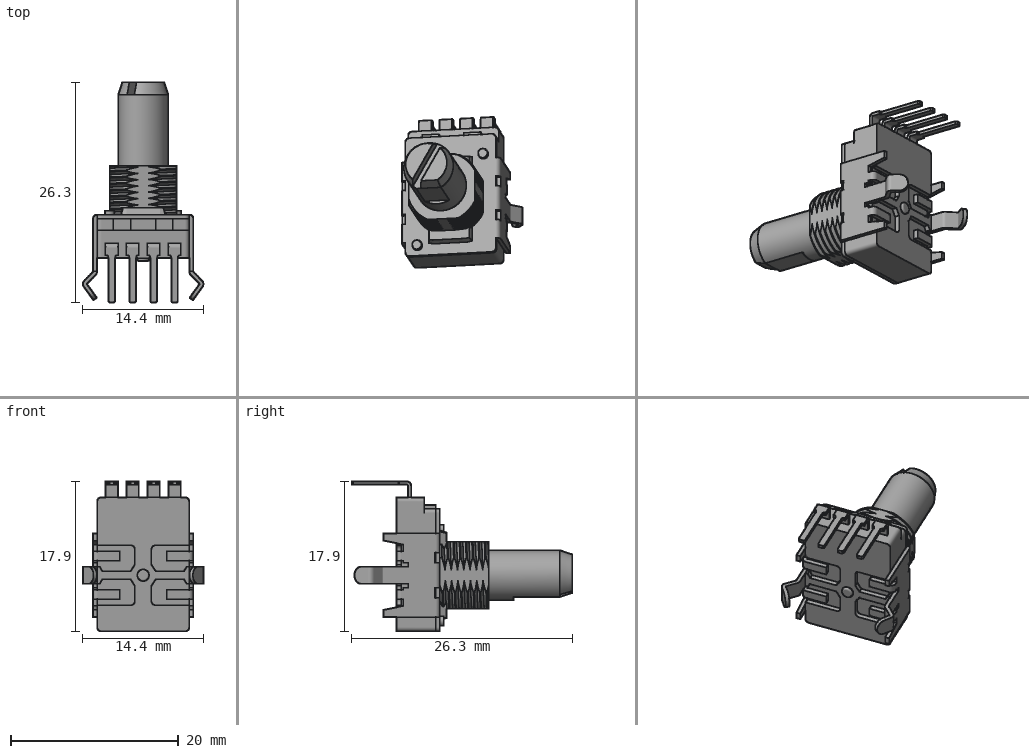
import cadquery as cq
import math


SHEET = 0.5

HOUSING_HALF_X = 5.5
HOUSING_BOTTOM_Z = -6.7
HOUSING_TOP_Z = 9.3
HOUSING_BACK_Y = -5.2
HOUSING_STEP_Y = -1.85
CORNER_RADIUS = 0.5
TAB_HEIGHT = 0.45
TAB_INNER_X = 1.5
TAB_OUTER_X = 3.55

RIVET_RADIUS = 0.7
RIVET_TIP_RADIUS = 0.48
RIVET_HEIGHT = 0.35

FINGER_BEND_RADIUS = 0.57
POCKET_FLOOR_Y = -4.6
POCKET_TOP_Z = 3.57
POCKET_INNER_X = 0.98
POCKET_RIB_HALF = 0.48
POCKET_CUT = 0.52
POCKET_CUT_HEIGHT = 0.8
RIB_FLARE_INNER_X = 4.87
RIB_FLARE_OUTER_X = 5.2

COVER_TOP_Z = 7.95
WALL_OUTER_X = HOUSING_HALF_X + SHEET
WALL_HALF_Z = 5.0
WALL_EDGE_Y = -4.37

LEG_TIP_Y = -6.75
LEG_TIP_WIDTH = 0.87
LEG_ROOT_Z = 3.65

FINGER_LOW_Z = 1.75
FINGER_HIGH_Z = 2.85
FINGER_END_X = 2.8

CLIP_HALF_Z = 1.04
CLIP_TIP_RADIUS = 1.03
CLIP_SLOT_Z = 1.5
CLIP_SLOT_Y = -3.8
CLIP_KNEE_Y = -6.93
CLIP_ELBOW_X = 7.04
CLIP_ELBOW_Y = -8.25
CLIP_TIP_X = 5.73
CLIP_TIP_Y = -10.07
CLIP_BEND_RADIUS = 0.05

WINDOW_LOW_Z = 1.5
WINDOW_HIGH_Z = 2.7
WINDOW_DEPTH = 0.65

STUD_X = 4.0
STUD_Z = 5.47
STUD_RADIUS = 0.57
STUD_HEIGHT = 0.48

BOSS_HEIGHT = 0.8
BOSS_TIP_HALF_X = 2.4
BOSS_TIP_HALF_Z = 5.1
BOSS_FLAT_HALF_X = 2.02
BOSS_CORNER_DROP = 0.13
BOSS_DRAFT = 17.0

BUSHING_LENGTH = 5.8
THREAD_RADIUS = 4.5
THREAD_ROOT_RADIUS = 4.05
THREAD_PITCH = 0.75
THREAD_CREST = 0.05
MOUTH_RADIUS = 4.55
GROOVE_SPAN = 76.0
THREAD_RUNOUT = 0.12
FLAT_HALF = 4.0

SHAFT_RADIUS = 3.0
SHAFT_END_Y = 15.8
SHAFT_FLAT_Z = -2.6
SHAFT_FLAT_START_Y = 8.8
TIP_CHAMFER = 0.5
TIP_LENGTH = 1.5
SLOT_WIDTH = 1.0
SLOT_ANGLE = 30.0

TERMINAL_COUNT = 4
TERMINAL_PITCH = 2.5
TERMINAL_THICKNESS = 0.4
TERMINAL_BEND_RADIUS = 0.55
TERMINAL_TOP_Z = 11.2
TERMINAL_FRONT_Y = -3.42
TERMINAL_SHOULDER_Y = -4.85
TERMINAL_TIP_Y = -10.5
TERMINAL_WIDE = 1.5
TERMINAL_NARROW = 0.8
TERMINAL_CHAMFER = 0.15


def block(x0, x1, y0, y1, z0, z1):
    """Axis-aligned box between the given limits."""
    size = (x1 - x0, y1 - y0, z1 - z0)
    return cq.Workplane().box(*size, centered=False).translate((x0, y0, z0))


def prism_y(points, y_from, y_to):
    """Closed (x, z) outline extruded along Y."""
    return cq.Workplane("XZ", origin=(0, y_from, 0)).polyline(points).close().extrude(y_from - y_to)


def prism_x(points, x_from, x_to):
    """Closed (y, z) outline extruded along X."""
    return cq.Workplane("YZ", origin=(x_from, 0, 0)).polyline(points).close().extrude(x_to - x_from)


def rounded_slab(y0, y1, top_z):
    """Slab as wide as the housing, standing on its bottom plane, with rounded corners."""
    slab = block(-HOUSING_HALF_X, HOUSING_HALF_X, y0, y1, HOUSING_BOTTOM_Z, top_z)
    return slab.edges("|Y").fillet(CORNER_RADIUS)


def mirrored(body, plane):
    """Body together with its mirror image."""
    return body.union(body.mirror(plane))


def make_pocket():
    """Recess in the housing back for one bent finger, upper +X corner."""
    outline = [
        (WALL_OUTER_X, POCKET_TOP_Z),
        (POCKET_INNER_X, POCKET_TOP_Z),
        (POCKET_INNER_X, POCKET_RIB_HALF + POCKET_CUT_HEIGHT),
        (POCKET_INNER_X + POCKET_CUT, POCKET_RIB_HALF),
        (RIB_FLARE_INNER_X, POCKET_RIB_HALF),
        (RIB_FLARE_OUTER_X, CLIP_HALF_Z),
        (WALL_OUTER_X, CLIP_HALF_Z),
    ]
    pocket = prism_y(outline, POCKET_FLOOR_Y, HOUSING_BACK_Y)
    middle_y = (POCKET_FLOOR_Y + HOUSING_BACK_Y) / 2
    inner_corner = cq.NearestToPointSelector((POCKET_INNER_X, middle_y, POCKET_TOP_Z))
    return pocket.edges(inner_corner).fillet(CORNER_RADIUS)


def make_housing():
    low_part = rounded_slab(HOUSING_BACK_Y, -SHEET, COVER_TOP_Z)
    tall_part = rounded_slab(HOUSING_BACK_Y, HOUSING_STEP_Y, HOUSING_TOP_Z)
    body = low_part.union(tall_part)

    tab = block(TAB_INNER_X, TAB_OUTER_X, HOUSING_STEP_Y, -SHEET, 0, COVER_TOP_Z + TAB_HEIGHT)
    body = body.union(mirrored(tab, "YZ"))

    body = body.cut(mirrored(mirrored(make_pocket(), "YZ"), "XY"))

    rivet = (
        cq.Workplane("XZ", origin=(0, HOUSING_BACK_Y, 0))
        .circle(RIVET_RADIUS)
        .extrude(RIVET_HEIGHT)
        .faces("<Y")
        .edges()
        .fillet(RIVET_RADIUS - RIVET_TIP_RADIUS)
    )
    return body.union(rivet)


def make_side_wall():
    """Side wall of the cover with its two outer legs, +X side."""
    upper_half = [
        (0, 0),
        (0, WALL_HALF_Z),
        (LEG_TIP_Y, WALL_HALF_Z),
        (LEG_TIP_Y, WALL_HALF_Z - LEG_TIP_WIDTH),
        (WALL_EDGE_Y, LEG_ROOT_Z),
        (WALL_EDGE_Y, CLIP_SLOT_Z),
        (CLIP_SLOT_Y, CLIP_SLOT_Z),
        (CLIP_SLOT_Y, 0),
    ]
    return mirrored(prism_x(upper_half, HOUSING_HALF_X, WALL_OUTER_X), "XY")


def make_shell():
    """Front plate and both side walls, with rounded bends that are cut away at four windows."""
    plate = rounded_slab(-SHEET, 0, COVER_TOP_Z)
    shell = plate.union(mirrored(make_side_wall(), "YZ"))
    shell = shell.edges("|Z and >Y and (>X or <X)").fillet(CORNER_RADIUS)
    window = block(HOUSING_HALF_X, WALL_OUTER_X, -WINDOW_DEPTH, 0, WINDOW_LOW_Z, WINDOW_HIGH_Z)
    return shell.cut(mirrored(mirrored(window, "XY"), "YZ"))


def make_finger():
    """Finger bent into its pocket, flush with the housing back, upper +X corner."""
    profile = [
        (HOUSING_HALF_X, WALL_EDGE_Y),
        (WALL_OUTER_X, WALL_EDGE_Y),
        (WALL_OUTER_X, HOUSING_BACK_Y),
        (FINGER_END_X, HOUSING_BACK_Y),
        (FINGER_END_X, POCKET_FLOOR_Y),
        (HOUSING_HALF_X, POCKET_FLOOR_Y),
    ]
    finger = cq.Workplane("XY", origin=(0, 0, FINGER_LOW_Z)).polyline(profile).close()
    finger = finger.extrude(FINGER_HIGH_Z - FINGER_LOW_Z)
    return finger.edges("|Z and <Y and >X").fillet(FINGER_BEND_RADIUS)


def offset_point(point, direction_in, direction_out, distance):
    """Mitred corner of a line running parallel to a bent centre line."""
    turn = direction_out - direction_in
    reach = distance / math.cos(turn / 2)
    normal = (direction_in + direction_out) / 2 + math.pi / 2
    return (point[0] + reach * math.cos(normal), point[1] + reach * math.sin(normal))


def make_clip():
    """Snap-in clip in the middle of the +X wall: out, back in, with a round tip."""
    centre = [
        (HOUSING_HALF_X + SHEET / 2, CLIP_SLOT_Y),
        (HOUSING_HALF_X + SHEET / 2, CLIP_KNEE_Y),
        (CLIP_ELBOW_X, CLIP_ELBOW_Y),
        (CLIP_TIP_X, CLIP_TIP_Y),
    ]
    directions = [math.atan2(b[1] - a[1], b[0] - a[0]) for a, b in zip(centre, centre[1:])]
    arriving = [directions[0]] + directions
    leaving = directions + [directions[-1]]
    left = [offset_point(p, a, b, SHEET / 2) for p, a, b in zip(centre, arriving, leaving)]
    right = [offset_point(p, a, b, -SHEET / 2) for p, a, b in zip(centre, arriving, leaving)]
    strip = cq.Workplane("XY", origin=(0, 0, -CLIP_HALF_Z)).polyline(left + right[::-1]).close()
    strip = strip.extrude(2 * CLIP_HALF_Z)

    bends = [
        (left[1], CLIP_BEND_RADIUS),
        (right[1], CLIP_BEND_RADIUS + SHEET),
        (right[2], CLIP_BEND_RADIUS),
        (left[2], CLIP_BEND_RADIUS + SHEET),
    ]
    for corner, radius in bends:
        strip = strip.edges(cq.NearestToPointSelector((*corner, 0))).fillet(radius)
    for z in (-CLIP_HALF_Z, CLIP_HALF_Z):
        tip_corner = cq.NearestToPointSelector((CLIP_TIP_X, CLIP_TIP_Y, z))
        strip = strip.edges(tip_corner).fillet(CLIP_TIP_RADIUS)
    return strip


def make_bushing():
    """Threaded bushing with four flats, without its bore.

    The flats cut the thread away except at the four corners, so each groove is cut as
    four short helical arcs. It is built along Z and then turned to the Y axis.
    """
    square = cq.Workplane().rect(2 * FLAT_HALF, 2 * FLAT_HALF).extrude(BUSHING_LENGTH)
    blank = cq.Workplane().circle(THREAD_RADIUS).extrude(BUSHING_LENGTH).intersect(square)

    arc = cq.Wire.makeHelix(THREAD_PITCH, THREAD_PITCH * GROOVE_SPAN / 360, THREAD_ROOT_RADIUS)
    half_mouth = (THREAD_PITCH - THREAD_CREST) / 2
    groove = (
        cq.Workplane("XZ")
        .polyline([(THREAD_ROOT_RADIUS, 0), (MOUTH_RADIUS, half_mouth), (MOUTH_RADIUS, -half_mouth)])
        .close()
        .sweep(cq.Workplane(arc), isFrenet=True)
        .val()
    )

    first_height = BUSHING_LENGTH - THREAD_RUNOUT + THREAD_PITCH / 4
    groove_count = math.ceil(BUSHING_LENGTH / THREAD_PITCH) + 2
    grooves = []
    for corner in range(4):
        angle = 90 * corner + (90 - GROOVE_SPAN) / 2
        turned = groove.rotate(cq.Vector(), cq.Vector(0, 0, 1), angle)
        for turn in range(groove_count):
            height = first_height + (angle / 360 + 1 - turn) * THREAD_PITCH
            grooves.append(turned.translate(cq.Vector(0, 0, height)))
    threaded = blank.cut(cq.Workplane(cq.Compound.makeCompound(grooves)))
    return threaded.rotate((0, 0, 0), (1, 0, 0), -90)


def make_boss():
    """Tapered support boss that crosses the bushing and stands out above and below it."""
    flare = BOSS_HEIGHT * math.tan(math.radians(BOSS_DRAFT))
    half_x = BOSS_TIP_HALF_X + flare
    half_z = BOSS_TIP_HALF_Z + flare
    corner_z = half_z - BOSS_CORNER_DROP
    base = (
        cq.Workplane("XZ")
        .polyline([
            (BOSS_FLAT_HALF_X, half_z),
            (half_x, corner_z),
            (half_x, -corner_z),
            (BOSS_FLAT_HALF_X, -half_z),
            (-BOSS_FLAT_HALF_X, -half_z),
            (-half_x, -corner_z),
            (-half_x, corner_z),
            (-BOSS_FLAT_HALF_X, half_z),
        ])
        .close()
    )
    return base.extrude(-BOSS_HEIGHT, taper=BOSS_DRAFT)


def make_cover():
    side = mirrored(make_finger(), "XY").union(make_clip())
    cover = make_shell().union(mirrored(side, "YZ"))

    stud_places = [(-STUD_X, STUD_Z), (STUD_X, -STUD_Z)]
    studs = cq.Workplane("XZ").pushPoints(stud_places).circle(STUD_RADIUS).extrude(-STUD_HEIGHT)
    cover = cover.union(studs).union(make_boss()).union(make_bushing())

    bore = cq.Workplane("XZ", origin=(0, -SHEET, 0)).circle(SHAFT_RADIUS).extrude(-BUSHING_LENGTH - SHEET)
    return cover.cut(bore)


def shaft_d_outline(y):
    """D-shaped shaft section at the given Y, flat side down."""
    flat_half_x = math.sqrt(SHAFT_RADIUS**2 - SHAFT_FLAT_Z**2)
    return (
        cq.Workplane("XZ", origin=(0, y, 0))
        .moveTo(flat_half_x, SHAFT_FLAT_Z)
        .threePointArc((0, SHAFT_RADIUS), (-flat_half_x, SHAFT_FLAT_Z))
        .close()
    )


def make_shaft():
    tip_start_y = SHAFT_END_Y - TIP_LENGTH
    tip_taper = math.degrees(math.atan2(TIP_CHAMFER, TIP_LENGTH))
    round_length = SHAFT_FLAT_START_Y + SHEET
    shaft = cq.Workplane("XZ", origin=(0, -SHEET, 0)).circle(SHAFT_RADIUS).extrude(-round_length)
    shaft = shaft.union(shaft_d_outline(SHAFT_FLAT_START_Y).extrude(SHAFT_FLAT_START_Y - tip_start_y))
    shaft = shaft.union(shaft_d_outline(tip_start_y).extrude(-TIP_LENGTH, taper=tip_taper))

    slot = block(
        -SLOT_WIDTH / 2, SLOT_WIDTH / 2, tip_start_y, SHAFT_END_Y, -SHAFT_RADIUS, SHAFT_RADIUS
    )
    return shaft.cut(slot.rotate((0, 0, 0), (0, 1, 0), -SLOT_ANGLE))


def make_terminal(x):
    """Bent terminal standing on the housing top, with a narrow solder pin."""
    inner_y = TERMINAL_FRONT_Y - TERMINAL_THICKNESS
    inner_z = TERMINAL_TOP_Z - TERMINAL_THICKNESS
    profile = [
        (TERMINAL_FRONT_Y, HOUSING_TOP_Z),
        (TERMINAL_FRONT_Y, TERMINAL_TOP_Z),
        (TERMINAL_TIP_Y, TERMINAL_TOP_Z),
        (TERMINAL_TIP_Y, inner_z),
        (inner_y, inner_z),
        (inner_y, HOUSING_TOP_Z),
    ]
    strip = prism_x(profile, -TERMINAL_WIDE / 2, TERMINAL_WIDE / 2)
    strip = strip.edges("|X and >Y and >Z").fillet(TERMINAL_BEND_RADIUS)
    inner_bend = cq.NearestToPointSelector((0, inner_y, inner_z))
    strip = strip.edges(inner_bend).fillet(TERMINAL_BEND_RADIUS - TERMINAL_THICKNESS)

    relief = block(
        TERMINAL_NARROW / 2, TERMINAL_WIDE, TERMINAL_TIP_Y, TERMINAL_SHOULDER_Y, inner_z, TERMINAL_TOP_Z
    )
    relief = relief.edges("|Z and <X and >Y").chamfer(TERMINAL_CHAMFER)
    strip = strip.cut(mirrored(relief, "YZ"))
    strip = strip.faces("<Y").edges("|Z").chamfer(TERMINAL_CHAMFER)
    return strip.translate((x, 0, 0))


terminal_positions = [(i - (TERMINAL_COUNT - 1) / 2) * TERMINAL_PITCH for i in range(TERMINAL_COUNT)]

housing = make_housing()
cover = make_cover()
shaft = make_shaft()
terminals = [make_terminal(x) for x in terminal_positions]

result = cq.Compound.makeCompound(
    [housing.val(), cover.val(), shaft.val(), *[terminal.val() for terminal in terminals]]
)